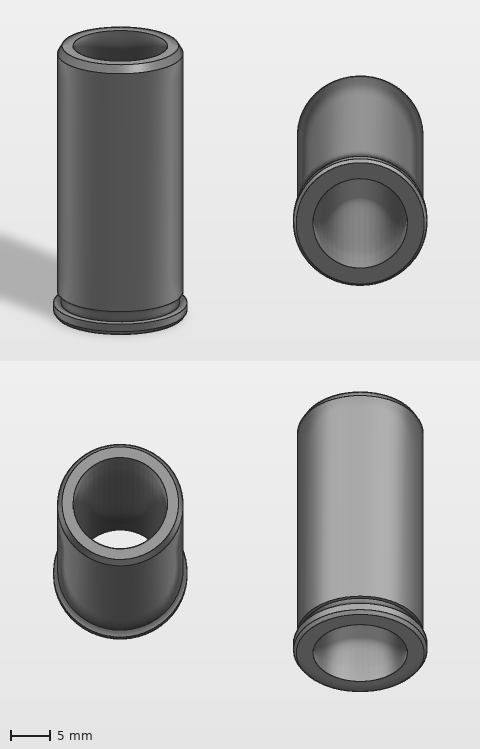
import cadquery as cq
import math

total_height = 36.0
flange_diameter = 17.0
body_diameter = 16.0
groove_diameter = 15.1
bore_diameter = 12.0
flange_height = 1.5
groove_height = 1.5
lead_in_height = 1.0
lead_in_angle = 30.0
flange_chamfer_height = 0.5
flange_chamfer_width = 0.35

flange_radius = flange_diameter / 2
body_radius = body_diameter / 2
groove_radius = groove_diameter / 2
bore_radius = bore_diameter / 2
body_bottom = flange_height + groove_height
lead_in_bottom = total_height - lead_in_height
top_radius = body_radius - lead_in_height * math.tan(math.radians(lead_in_angle))

half_section = [
    (bore_radius, 0),
    (flange_radius - flange_chamfer_width, 0),
    (flange_radius, flange_chamfer_height),
    (flange_radius, flange_height),
    (groove_radius, flange_height),
    (groove_radius, body_bottom),
    (body_radius, body_bottom),
    (body_radius, lead_in_bottom),
    (top_radius, total_height),
    (bore_radius, total_height),
]

result = cq.Workplane("XZ").polyline(half_section).close().revolve(360, (0, 0), (0, 1))